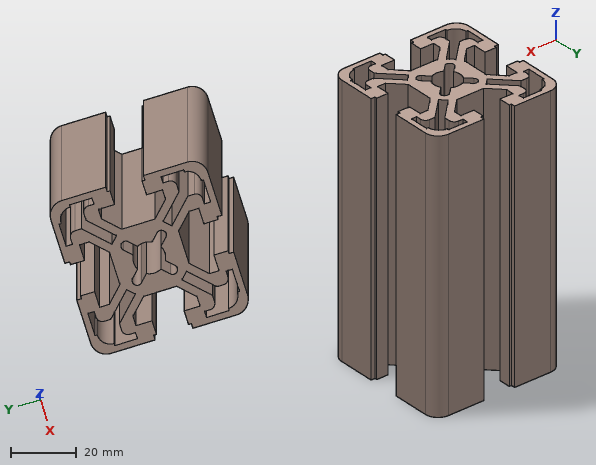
import cadquery as cq
import math

width = 50.0
length = 100.0
half = width / 2
corner_radius = 5.0

mouth_half = 6.0
mouth_depth = 1.5
lip_half = 5.1
lip_depth = 6.0
cavity_half = 10.2
core_half = 11.0

strut_pair_width = 8.1
strut_gap = 3.0
gap_start = 12.0

wall = 2.0
hollow_end = 11.0
leg_floor = 21.0
pad_edge = 14.8
pad_radius = 2.0
thick_wall = 2.7
thick_reach = 6.8

bore_radius = 5.0
keyway_width = 3.0
keyway_centre = 8.0

diagonal = math.sqrt(0.5)

strut_offset = strut_pair_width * diagonal
gap_offset = strut_gap * diagonal


def four_around(solid):
    """Repeat a cutter at quarter turns about the Z axis."""
    group = solid
    for turn in range(1, 4):
        group = group.union(solid.rotate((0, 0, 0), (0, 0, 1), 90 * turn))
    return group


def side_slot():
    """Stepped mouth and flared cavity of the T-slot in the +Y side."""
    right_side = [
        (mouth_half, half),
        (mouth_half, half - mouth_depth),
        (lip_half, half - mouth_depth),
        (lip_half, half - lip_depth),
        (cavity_half, half - lip_depth),
        (cavity_half, cavity_half + strut_offset),
        (core_half - strut_offset, core_half),
    ]
    left_side = [(-x, y) for x, y in reversed(right_side)]
    return cq.Workplane("XY").polyline(right_side + left_side).close().extrude(length)


def corner_hollow():
    """L-shaped hollow of the +X +Y corner, with the gap between the two struts."""
    inner_face = half - wall
    thick_edge = half - thick_reach
    thick_face = half - thick_wall
    thick_mid = thick_edge + (thick_face - thick_edge) * diagonal
    round_start = pad_edge - pad_radius
    round_top = leg_floor - pad_radius
    round_mid = (round_start + pad_radius * diagonal, round_top + pad_radius * diagonal)
    gap_low = gap_start * diagonal - gap_offset / 2
    gap_high = gap_low + gap_offset
    return (
        cq.Workplane("XY")
        .moveTo(gap_low, gap_high)
        .lineTo(pad_edge, pad_edge + gap_offset)
        .lineTo(pad_edge, round_top)
        .threePointArc(round_mid, (round_start, leg_floor))
        .lineTo(hollow_end, leg_floor)
        .lineTo(hollow_end, inner_face)
        .lineTo(thick_edge, inner_face)
        .lineTo(thick_edge, thick_face)
        .threePointArc((thick_mid, thick_mid), (thick_face, thick_edge))
        .lineTo(inner_face, thick_edge)
        .lineTo(inner_face, hollow_end)
        .lineTo(leg_floor, hollow_end)
        .lineTo(leg_floor, round_start)
        .threePointArc(round_mid[::-1], (round_top, pad_edge))
        .lineTo(pad_edge + gap_offset, pad_edge)
        .lineTo(gap_high, gap_low)
        .close()
        .extrude(length)
    )


def core_opening():
    """Round bore crossed by two full-length diagonal keyway slots."""
    bore = cq.Workplane("XY").circle(bore_radius).extrude(length)
    for angle in (45, 135):
        keyway = (
            cq.Workplane("XY")
            .slot2D(2 * keyway_centre + keyway_width, keyway_width, angle)
            .extrude(length)
        )
        bore = bore.union(keyway)
    return bore


bar = cq.Workplane("XY").rect(width, width).extrude(length).edges("|Z").fillet(corner_radius)
result = bar.cut(four_around(side_slot())).cut(four_around(corner_hollow())).cut(core_opening())